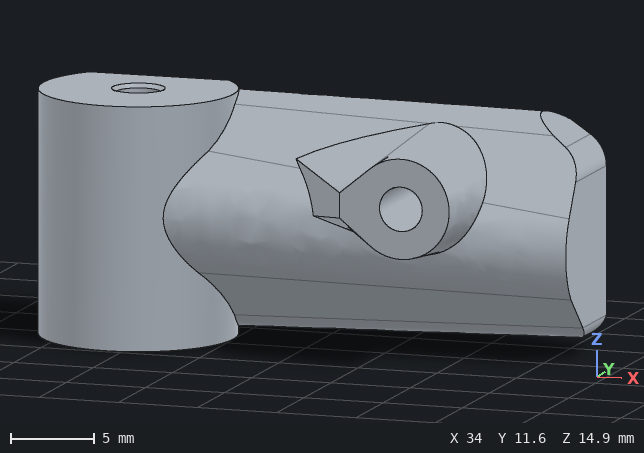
import cadquery as cq
import math

BARREL_RADIUS = 6.0
BARREL_HEIGHT = 14.9
PIN_HOLE_DIAMETER = 2.7
PIN_HOLE_MOUTH_DIAMETER = 3.2

BACK_Y_AT_AXIS = 4.1
BACK_Y_AT_TIP = 4.55

ARM_TIP_X = 27.99
ARM_BOTTOM_Z_AT_TIP = 1.05
ARM_ROOT_SECTION = {
    "back_bottom": (BACK_Y_AT_AXIS, 1.2),
    "back_top": (BACK_Y_AT_AXIS, 14.2),
    "crown": (2.3, 14.8),
    "upper_flank_top": (0.27, 14.45),
    "upper_flank_front": (-2.8, 12.55),
    "nose": (-5.3, 8.4),
    "lower_flank_front": (-3.7, 4.7),
    "lower_flank_bottom": (0.2, 1.3),
    "keel": (2.3, 0.3),
}
ARM_TIP_SECTION = {
    "back_bottom": (BACK_Y_AT_TIP, 1.95),
    "back_top": (BACK_Y_AT_TIP, 13.8),
    "crown": (2.6, 14.52),
    "upper_flank_top": (0.27, 13.5),
    "upper_flank_front": (-2.35, 9.1),
    "nose": (-2.97, 7.0),
    "lower_flank_front": (-2.0, 4.1),
    "lower_flank_bottom": (0.2, 2.0),
    "keel": (2.3, ARM_BOTTOM_Z_AT_TIP),
}

END_SLOPE_START = (24.5, 14.65)
END_SLOPE_CORNER_Z = 12.3
END_TOP_RADIUS = 2.25
END_BOTTOM_RADIUS = 1.0

BOSS_X = 18.97
BOSS_Z = 9.97
BOSS_FACE_Y = -7.03
BOSS_FACE_RADIUS = 3.05
BOSS_DEPTH = 7.5
BOSS_DRAFT = 0.12
BOSS_EDGE_OFFSET = 3.87
BOSS_EDGE_SLOPE = 0.91
BOSS_EDGE_HALF_HEIGHT = 0.77
BOSS_EDGE_FLARE = 0.19
BOSS_HOLE_DIAMETER = 2.7

CUT_REACH = 20.0


def make_barrel():
    """Round barrel with its back cut away along the leaning back plane."""
    barrel = cq.Workplane("XY").circle(BARREL_RADIUS).extrude(BARREL_HEIGHT)
    lean = (BACK_Y_AT_TIP - BACK_Y_AT_AXIS) / ARM_TIP_X
    reach = 2 * BARREL_RADIUS
    behind_flat = (
        cq.Workplane("XY")
        .moveTo(-reach, BACK_Y_AT_AXIS - lean * reach)
        .lineTo(reach, BACK_Y_AT_AXIS + lean * reach)
        .lineTo(reach, reach)
        .lineTo(-reach, reach)
        .close()
        .extrude(BARREL_HEIGHT)
    )
    return barrel.cut(behind_flat)


def arm_wire(section, x):
    """Closed arm cross-section at x: flat back, two straight flanks and three arcs."""
    point = {name: cq.Vector(x, y, z) for name, (y, z) in section.items()}
    edges = [
        cq.Edge.makeLine(point["back_bottom"], point["back_top"]),
        cq.Edge.makeThreePointArc(point["back_top"], point["crown"], point["upper_flank_top"]),
        cq.Edge.makeLine(point["upper_flank_top"], point["upper_flank_front"]),
        cq.Edge.makeThreePointArc(point["upper_flank_front"], point["nose"], point["lower_flank_front"]),
        cq.Edge.makeLine(point["lower_flank_front"], point["lower_flank_bottom"]),
        cq.Edge.makeThreePointArc(point["lower_flank_bottom"], point["keel"], point["back_bottom"]),
    ]
    return cq.Wire.assembleEdges(edges)


def make_arm():
    """Arm lofted from barrel axis to free end, with sloped and rounded end corners."""
    wires = [arm_wire(ARM_ROOT_SECTION, 0), arm_wire(ARM_TIP_SECTION, ARM_TIP_X)]
    arm = cq.Workplane(cq.Solid.makeLoft(wires, True))
    slope_start_x, slope_start_z = END_SLOPE_START
    slope = (END_SLOPE_CORNER_Z - slope_start_z) / (ARM_TIP_X - slope_start_x)
    outline = (
        cq.Workplane("XZ")
        .moveTo(0, 0)
        .lineTo(ARM_TIP_X, ARM_BOTTOM_Z_AT_TIP)
        .lineTo(ARM_TIP_X, END_SLOPE_CORNER_Z)
        .lineTo(0, END_SLOPE_CORNER_Z - slope * ARM_TIP_X)
        .close()
        .extrude(CUT_REACH, both=True)
    )
    outline = outline.faces(">X").edges(">Z").fillet(END_TOP_RADIUS)
    outline = outline.faces(">X").edges("<Z").fillet(END_BOTTOM_RADIUS)
    return arm.intersect(outline)


def boss_wire(depth):
    """Teardrop outline at a distance behind the boss face: a short edge, two tangents and an arc."""
    y = BOSS_FACE_Y + depth
    radius = BOSS_FACE_RADIUS + BOSS_DRAFT * depth
    edge_offset = BOSS_EDGE_OFFSET + BOSS_EDGE_SLOPE * depth
    half_height = BOSS_EDGE_HALF_HEIGHT + BOSS_EDGE_FLARE * depth

    def at(x, z):
        return cq.Vector(BOSS_X + x, y, BOSS_Z + z)

    corner_angle = math.atan2(half_height, -edge_offset)
    swing = math.acos(radius / math.hypot(edge_offset, half_height))
    tangent_x = radius * math.cos(corner_angle - swing)
    tangent_z = radius * math.sin(corner_angle - swing)

    edges = [
        cq.Edge.makeLine(at(-edge_offset, -half_height), at(-edge_offset, half_height)),
        cq.Edge.makeLine(at(-edge_offset, half_height), at(tangent_x, tangent_z)),
        cq.Edge.makeThreePointArc(at(tangent_x, tangent_z), at(radius, 0), at(tangent_x, -tangent_z)),
        cq.Edge.makeLine(at(tangent_x, -tangent_z), at(-edge_offset, -half_height)),
    ]
    return cq.Wire.assembleEdges(edges)


def make_boss():
    """Boss flaring from its face back into the arm."""
    return cq.Workplane(cq.Solid.makeLoft([boss_wire(0), boss_wire(BOSS_DEPTH)], True))


def make_pin_hole():
    """Through hole along the barrel axis with a chamfered upper mouth."""
    chamfer = (PIN_HOLE_MOUTH_DIAMETER - PIN_HOLE_DIAMETER) / 2
    hole = cq.Workplane("XY").circle(PIN_HOLE_DIAMETER / 2).extrude(BARREL_HEIGHT)
    mouth = cq.Solid.makeCone(
        PIN_HOLE_DIAMETER / 2,
        PIN_HOLE_MOUTH_DIAMETER / 2,
        chamfer,
        pnt=cq.Vector(0, 0, BARREL_HEIGHT - chamfer),
    )
    return hole.union(cq.Workplane(mouth))


def make_boss_hole():
    """Hole along Y through the boss and the arm."""
    return (
        cq.Workplane("XZ")
        .center(BOSS_X, BOSS_Z)
        .circle(BOSS_HOLE_DIAMETER / 2)
        .extrude(CUT_REACH, both=True)
    )


result = make_barrel().union(make_arm()).union(make_boss()).cut(make_pin_hole()).cut(make_boss_hole())